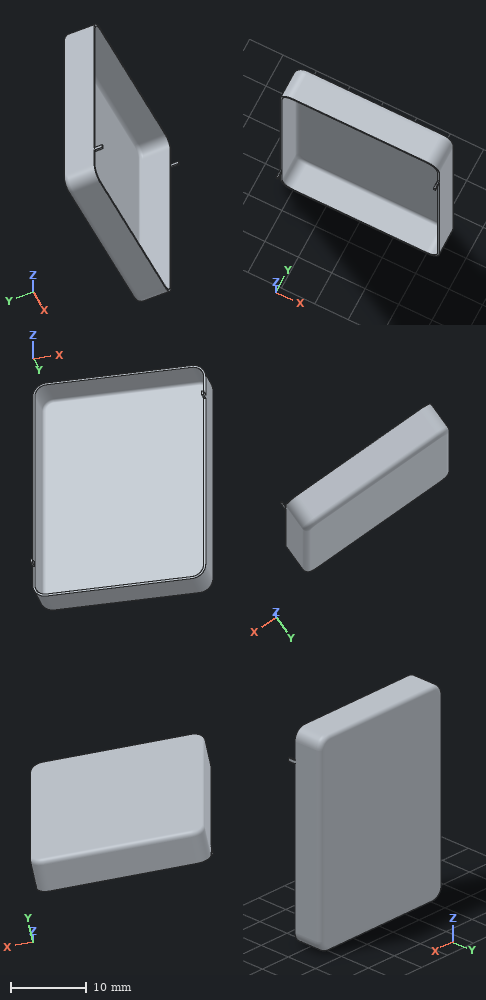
import cadquery as cq

width = 23.8
height = 32.3
total_depth = 5.9

pin_length = 1.2
tray_depth = total_depth - pin_length
wall = 0.307
corner_radius = 1.9
floor_radius = 0.8

pin_thickness = 0.25
pin_height = 0.55
pin_end_distance = 5.0


def rounded_block(inset):
    """Block inset from the tray's outside, with rounded corners and rounded back edges."""
    return (
        cq.Workplane("XZ")
        .rect(width - 2 * inset, height - 2 * inset)
        .extrude(-(tray_depth - inset))
        .edges("|Y")
        .fillet(corner_radius - inset)
        .faces(">Y")
        .edges()
        .fillet(floor_radius - inset)
    )


def rim_pin(side):
    """Pin flush with the outer side wall: side -1 is low on -X, +1 is high on +X."""
    x = side * (width - pin_thickness) / 2
    z = side * (height / 2 - pin_end_distance)
    return (
        cq.Workplane("XZ")
        .center(x, z)
        .rect(pin_thickness, pin_height)
        .extrude(pin_length)
    )


result = rounded_block(0).cut(rounded_block(wall))

for side in (-1, 1):
    result = result.union(rim_pin(side))